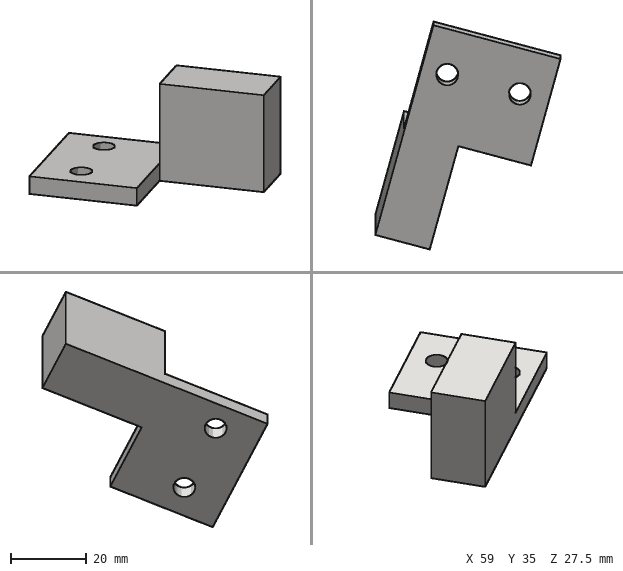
import cadquery as cq

length = 59.0
width = 35.0
height = 27.5

plate_length = 30.0
plate_thickness = 5.0

block_length = length - plate_length
block_width = 15.0

hole_diameter = 5.8
hole_x = 12.0
hole_spacing = 20.0
back_hole_inset = 7.0
back_hole_y = width - back_hole_inset
hole_centers = [(hole_x, back_hole_y - hole_spacing), (hole_x, back_hole_y)]


def make_plate():
    """Rectangular plate with two through holes."""
    plate = cq.Workplane("XY").box(plate_length, width, plate_thickness, centered=False)
    holes = (
        cq.Workplane("XY")
        .pushPoints(hole_centers)
        .circle(hole_diameter / 2)
        .extrude(plate_thickness)
    )
    return plate.cut(holes)


def make_block():
    """Plain block joined to the +X face of the plate."""
    block = cq.Workplane("XY").box(block_length, block_width, height, centered=False)
    return block.translate((plate_length, width - block_width, 0))


result = make_plate().union(make_block())